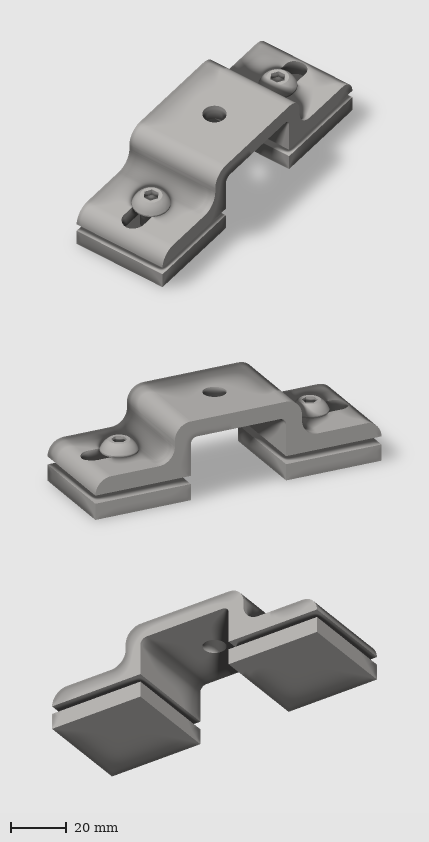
import cadquery as cq
import math

length = 114.4
width = length / 3
thickness = width / 6
overall_height = 30.9
clamp_gap = thickness / 2
inner_bend_radius = 2.6
clearance_diameter = 8.7
slot_travel = 10.5
shank_diameter = 8.0
head_diameter = 14.0
head_top_diameter = 8.0
head_height = 4.2
head_rim_height = 0.6
socket_across_flats = 5.0
socket_depth = 2.5
socket_turn = 30

half_length = length / 2
foot_length = width
foot_inner_y = half_length - foot_length
screw_y = half_length - foot_length / 2
bracket_bottom = thickness + clamp_gap
foot_top = bracket_bottom + thickness
bridge_underside = overall_height - thickness
wall_outer_y = foot_inner_y + thickness
bend_radius = thickness
sides = (-1, 1)


def arc_middle(center_y, center_z, radius, degrees):
    """Point on a circle in the YZ plane, at an angle from +Y."""
    angle = math.radians(degrees)
    return center_y + radius * math.cos(angle), center_z + radius * math.sin(angle)


def make_bracket():
    """Hat-shaped bracket with a centre hole and a slot in each foot."""
    nose_y = half_length - bend_radius
    nose_z = foot_top - bend_radius
    valley_y = wall_outer_y + bend_radius
    valley_z = foot_top + bend_radius
    crest_y = wall_outer_y - bend_radius
    crest_z = overall_height - bend_radius
    inner_y = foot_inner_y - inner_bend_radius
    inner_z = bridge_underside - inner_bend_radius
    half_profile = (
        cq.Workplane("YZ", origin=(-width / 2, 0, 0))
        .moveTo(0, overall_height)
        .lineTo(crest_y, overall_height)
        .threePointArc(arc_middle(crest_y, crest_z, bend_radius, 45), (wall_outer_y, crest_z))
        .lineTo(wall_outer_y, valley_z)
        .threePointArc(arc_middle(valley_y, valley_z, bend_radius, 225), (valley_y, foot_top))
        .lineTo(nose_y, foot_top)
        .threePointArc(arc_middle(nose_y, nose_z, bend_radius, 45), (half_length, nose_z))
        .lineTo(foot_inner_y, bracket_bottom)
        .lineTo(foot_inner_y, inner_z)
        .threePointArc(arc_middle(inner_y, inner_z, inner_bend_radius, 45), (inner_y, bridge_underside))
        .lineTo(0, bridge_underside)
        .close()
    )
    half = half_profile.extrude(width)
    bracket = half.union(half.mirror("XZ")).clean()

    center_hole = cq.Workplane("XY").circle(clearance_diameter / 2).extrude(overall_height)
    bracket = bracket.cut(center_hole)

    slot_length = slot_travel + clearance_diameter
    slot_center_y = screw_y + slot_travel / 2
    slots = (
        cq.Workplane("XY")
        .pushPoints([(0, side * slot_center_y) for side in sides])
        .slot2D(slot_length, clearance_diameter, 90)
        .extrude(overall_height)
    )
    bracket = bracket.cut(slots)

    head_reliefs = (
        cq.Workplane("XY", origin=(0, 0, foot_top))
        .pushPoints([(0, side * screw_y) for side in sides])
        .circle(head_diameter / 2)
        .extrude(head_rim_height)
    )
    return bracket.cut(head_reliefs)


def make_clamp_plate(side):
    """Square plate below one foot, bored through for its screw."""
    return (
        cq.Workplane("XY", origin=(0, side * screw_y, 0))
        .rect(width, foot_length)
        .circle(shank_diameter / 2)
        .extrude(thickness)
    )


def make_screw(side):
    """Button-head screw resting on the foot, its shank ending flush under the plate."""
    head_radius = head_diameter / 2
    head_top_radius = head_top_diameter / 2
    rim_z = foot_top + head_rim_height
    head_top = foot_top + head_height

    dome_rise = head_top - rim_z
    center_drop = (head_radius**2 - head_top_radius**2 - dome_rise**2) / (2 * dome_rise)
    dome_radius = math.hypot(head_radius, center_drop)
    rim_angle = math.degrees(math.atan2(center_drop, head_radius))
    top_angle = math.degrees(math.atan2(center_drop + dome_rise, head_top_radius))
    dome_middle = arc_middle(0, rim_z - center_drop, dome_radius, (rim_angle + top_angle) / 2)

    screw = (
        cq.Workplane("XZ")
        .lineTo(shank_diameter / 2, 0)
        .lineTo(shank_diameter / 2, foot_top)
        .lineTo(head_radius, foot_top)
        .lineTo(head_radius, rim_z)
        .threePointArc(dome_middle, (head_top_radius, head_top))
        .lineTo(0, head_top)
        .close()
        .revolve(360, (0, 0), (0, 1))
    )
    socket = (
        cq.Workplane("XY", origin=(0, 0, head_top - socket_depth))
        .transformed(rotate=(0, 0, socket_turn))
        .polygon(6, socket_across_flats, circumscribed=True)
        .extrude(socket_depth)
    )
    return screw.cut(socket).translate((0, side * screw_y, 0))


bracket = make_bracket()
clamp_plates = [make_clamp_plate(side) for side in sides]
screws = [make_screw(side) for side in sides]

result = cq.Compound.makeCompound([
    bracket.solids().val(),
    *[plate.solids().val() for plate in clamp_plates],
    *[screw.solids().val() for screw in screws],
])